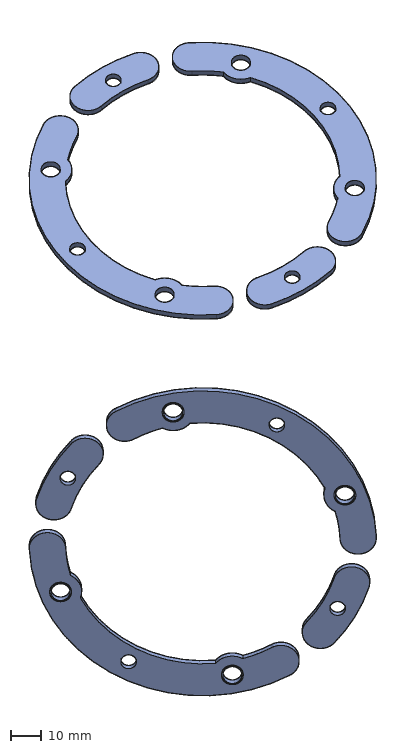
import cadquery as cq
import math

outer_radius = 57.0
inner_radius = 45.0
band_radius = (outer_radius + inner_radius) / 2
end_radius = (outer_radius - inner_radius) / 2
thickness = 2.3

long_half_angle = 59.0
short_half_angle = 12.0

middle_hole_diameter = 5.1
middle_hole_radius = 50.5

lobe_hole_diameter = 6.3
lobe_hole_radius = 50.0
lobe_half_angle = 40.0
lobe_radius = 7.0
collar_diameter = 7.2
collar_height = 0.2


def polar(radius, angle):
    """Point at an angle in degrees, measured counterclockwise from +X."""
    return (
        radius * math.cos(math.radians(angle)),
        radius * math.sin(math.radians(angle)),
    )


def band(half_angle):
    """Arc-shaped plate with round ends, centred on +X with its underside at Z = 0."""
    end_x, end_y = polar(band_radius, half_angle)
    tangent_x, tangent_y = polar(end_radius, half_angle + 90)
    tip = (end_x + tangent_x, end_y + tangent_y)
    opposite_tip = (tip[0], -tip[1])
    return (
        cq.Workplane("XY")
        .moveTo(*polar(outer_radius, -half_angle))
        .threePointArc((outer_radius, 0), polar(outer_radius, half_angle))
        .threePointArc(tip, polar(inner_radius, half_angle))
        .threePointArc((inner_radius, 0), polar(inner_radius, -half_angle))
        .threePointArc(opposite_tip, polar(outer_radius, -half_angle))
        .close()
        .extrude(thickness)
    )


def cylinder(center, diameter, bottom, top):
    """Upright cylinder between two heights."""
    return (
        cq.Workplane("XY", origin=(*center, bottom))
        .circle(diameter / 2)
        .extrude(top - bottom)
    )


def drill(plate, center, diameter):
    """Cut a hole through the plate and any collar below it."""
    return plate.cut(cylinder(center, diameter, -collar_height, thickness))


def short_segment(direction):
    """Short plate with one hole, facing the given direction."""
    plate = band(short_half_angle)
    plate = drill(plate, (middle_hole_radius, 0), middle_hole_diameter)
    return plate.rotate((0, 0, 0), (0, 0, 1), direction)


def long_segment(direction):
    """Long plate with a middle hole and two lobed, collared mounting holes."""
    plate = band(long_half_angle)
    plate = drill(plate, (middle_hole_radius, 0), middle_hole_diameter)
    for angle in (-lobe_half_angle, lobe_half_angle):
        center = polar(lobe_hole_radius, angle)
        plate = plate.union(cylinder(center, 2 * lobe_radius, 0, thickness))
        plate = plate.union(cylinder(center, collar_diameter, -collar_height, thickness))
        plate = drill(plate, center, lobe_hole_diameter)
    return plate.rotate((0, 0, 0), (0, 0, 1), direction)


long_segments = [long_segment(direction) for direction in (90, 270)]
short_segments = [short_segment(direction) for direction in (0, 180)]

result = cq.Compound.makeCompound([segment.val() for segment in long_segments + short_segments])